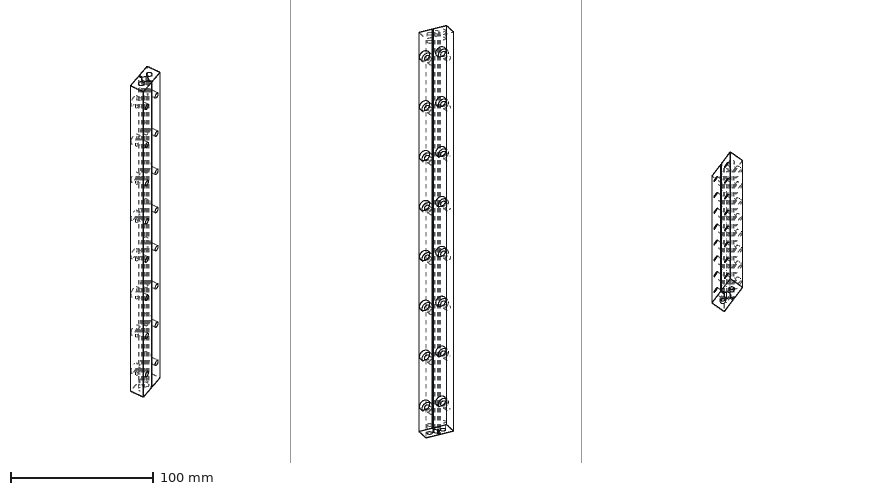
import cadquery as cq

length = 320.0
width = 11.0
pair_height = 22.0

rail_gap = 0.8
groove_half_diagonal = 3.2
groove_floor = 2.2

mounting_hole_count = 8
mounting_hole_pitch = 40.0
mounting_hole_offset = 6.5
through_hole_diameter = 4.0
counterbore_diameter = 8.0
counterbore_depth = 4.0

end_hole_diameter = 4.0
end_hole_depth = 6.5
end_hole_inset = 5.8
drill_tip_depth = 1.3

edge_chamfer = 0.1


inner_face = rail_gap / 2
outer_face = pair_height / 2
end_hole_offset = outer_face - end_hole_inset
groove_half_width = groove_half_diagonal - inner_face
groove_floor_half_width = groove_half_diagonal - groove_floor


def rail_blank():
    """Bar with its edges broken and a flat-bottomed 90 degree V groove along its inner face."""
    bar = (
        cq.Workplane("XY")
        .box(width, outer_face - inner_face, length, centered=(True, False, True))
        .translate((0, inner_face, 0))
        .edges()
        .chamfer(edge_chamfer)
    )
    groove = (
        cq.Workplane("XY")
        .polyline([
            (-groove_half_width, inner_face),
            (groove_half_width, inner_face),
            (groove_floor_half_width, groove_floor),
            (-groove_floor_half_width, groove_floor),
        ])
        .close()
        .extrude(length / 2, both=True)
    )
    return bar.cut(groove)


def mounting_holes():
    """Row of counterbored through holes."""
    return (
        cq.Workplane("YZ", origin=(-width / 2, mounting_hole_offset, 0))
        .rarray(3.2, mounting_hole_pitch, 1, mounting_hole_count)
        .circle(through_hole_diameter / 2)
        .extrude(width)
        .rarray(3.2, mounting_hole_pitch, 1, mounting_hole_count)
        .circle(counterbore_diameter / 2)
        .extrude(counterbore_depth)
    )


def end_hole():
    """Blind hole with a conical drill tip, sunk into the +Z end."""
    radius = end_hole_diameter / 2
    floor = length / 2 - end_hole_depth
    return (
        cq.Workplane("XZ", origin=(0, end_hole_offset, 0))
        .polyline([
            (0, length / 2),
            (radius, length / 2),
            (radius, floor),
            (0, floor - drill_tip_depth),
        ])
        .close()
        .revolve(360, (0, 0), (0, 1))
    )


def rail():
    """The rail on the +Y side of the pair."""
    top_hole = end_hole()
    return rail_blank().cut(mounting_holes()).cut(top_hole).cut(top_hole.mirror("XY"))


upper_rail = rail()
lower_rail = upper_rail.mirror("XZ")

result = cq.Compound.makeCompound([upper_rail.val(), lower_rail.val()])